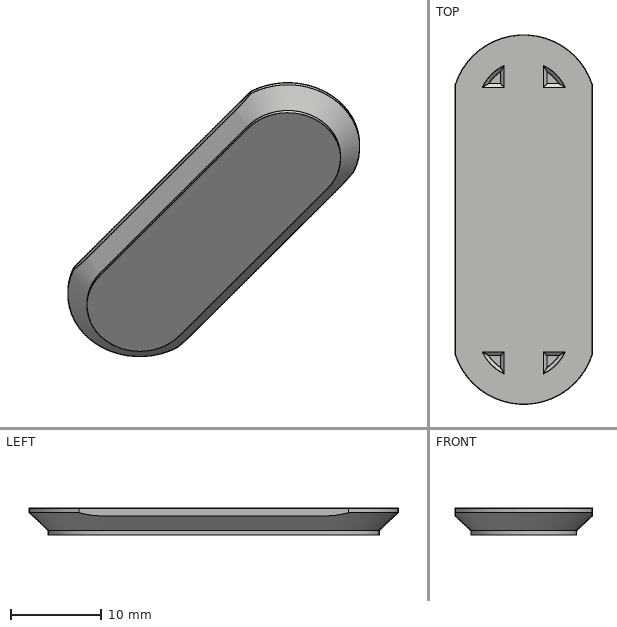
import cadquery as cq
import math

length = 40.95
width = 15.2
height = 3.0
rim_height = 0.5
foot_height = 0.5
rim_radius = 8.0
foot_radius = 5.85
end_center_y = length / 2 - rim_radius

pocket_offset = 2.15
pocket_radius = 5.08
pocket_depth = 0.4
wall_inset = 0.4


def slot_outline(plane_z, radius):
    """Round-ended outline whose ends share the same two arc centers."""
    slot_length = 2 * (end_center_y + radius)
    return cq.Workplane("XY", origin=(0, 0, plane_z)).slot2D(slot_length, 2 * radius, 90)


def plate_body():
    """Foot, flared flank and rim, with the long sides trimmed flat."""
    rim_z = height - rim_height
    foot = slot_outline(0, foot_radius).extrude(foot_height)
    rim = slot_outline(rim_z, rim_radius).extrude(rim_height)
    flank_height = rim_z - foot_height
    flare_angle = math.degrees(math.atan2(rim_radius - foot_radius, flank_height))
    flank = slot_outline(foot_height, foot_radius).extrude(flank_height, taper=-flare_angle)
    trim = cq.Workplane("XY").box(width, length, height, centered=(True, True, False))
    return foot.union(flank).union(rim).intersect(trim)


def pocket_outline(workplane, offset, radius):
    """Two straight sides at a right angle, closed by an arc about the local origin."""
    reach = math.sqrt(radius**2 - offset**2)
    arc_middle = radius * math.sqrt(0.5)
    return (
        workplane.moveTo(offset, offset)
        .lineTo(reach, offset)
        .threePointArc((arc_middle, arc_middle), (offset, reach))
        .close()
    )


def corner_pocket():
    """Pocket at the +X, +Y corner, narrowing toward its flat floor."""
    top = cq.Workplane("XY", origin=(0, end_center_y, height))
    mouth = pocket_outline(top, pocket_offset, pocket_radius)
    floor_plane = mouth.workplane(offset=-pocket_depth)
    floor = pocket_outline(floor_plane, pocket_offset + wall_inset, pocket_radius - wall_inset)
    return floor.loft(ruled=True)


result = plate_body()
right_pocket = corner_pocket()
left_pocket = right_pocket.mirror("YZ")
for pocket in (right_pocket, left_pocket):
    result = result.cut(pocket).cut(pocket.mirror("XZ"))